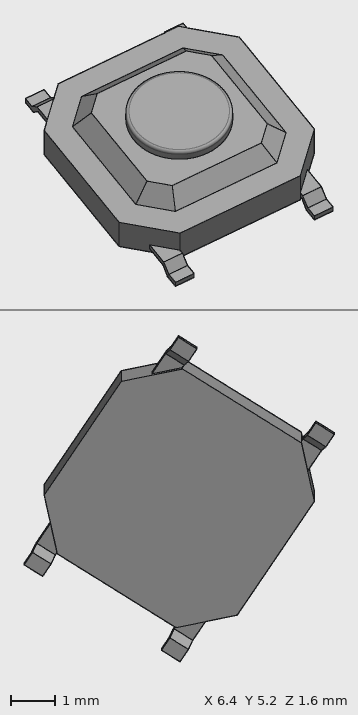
import cadquery as cq
import math

housing_side = 5.2
housing_corner = 1.0
housing_bottom = 0.1
housing_top = 0.95

cover_base_inset = 0.6
cover_top_inset = 1.0
cover_top = 1.35

button_diameter = 2.42
button_top = 1.6
button_edge_radius = 0.075

lead_span = 6.4
lead_thickness = 0.14
lead_rise = 0.21
foot_length_above = 0.28
foot_length_below = 0.35
bend_run_above = 0.22
bend_run_below = 0.18
lead_embed = 0.4

half_housing = housing_side / 2
lead_inner_y = half_housing - housing_corner
lead_outer_y = half_housing - housing_corner / 2
lead_width = lead_outer_y - lead_inner_y
lead_tip_x = lead_span / 2
lead_root_x = lead_inner_y - lead_embed


def cut_corner_square(side, corner):
    """Corner points of a centred square with its four corners cut at 45 degrees."""
    far = side / 2
    near = far - corner
    return [
        (far, -near), (far, near), (near, far), (-near, far),
        (-far, near), (-far, -near), (-near, -far), (near, -far),
    ]


def inset_housing_outline(inset):
    """Housing outline with all eight sides moved inward by the same distance."""
    corner = housing_corner - (2 - math.sqrt(2)) * inset
    return cut_corner_square(housing_side - 2 * inset, corner)


def make_housing():
    outline = cut_corner_square(housing_side, housing_corner)
    height = housing_top - housing_bottom
    return cq.Workplane("XY", origin=(0, 0, housing_bottom)).polyline(outline).close().extrude(height)


def make_cover():
    base = inset_housing_outline(cover_base_inset)
    top = inset_housing_outline(cover_top_inset)
    return (
        cq.Workplane("XY", origin=(0, 0, housing_top))
        .polyline(base).close()
        .workplane(offset=cover_top - housing_top)
        .polyline(top).close()
        .loft(ruled=True)
    )


def make_button():
    return (
        cq.Workplane("XY", origin=(0, 0, cover_top))
        .circle(button_diameter / 2)
        .extrude(button_top - cover_top)
        .faces(">Z").edges().fillet(button_edge_radius)
    )


def make_lead():
    """Lead at the +X, +Y corner, from its foot on the mounting plane to its root in the housing."""
    knee_above = lead_tip_x - foot_length_above
    knee_below = lead_tip_x - foot_length_below
    profile = [
        (lead_tip_x, 0),
        (lead_tip_x, lead_thickness),
        (knee_above, lead_thickness),
        (knee_above - bend_run_above, lead_rise + lead_thickness),
        (lead_root_x, lead_rise + lead_thickness),
        (lead_root_x, lead_rise),
        (knee_below - bend_run_below, lead_rise),
        (knee_below, 0),
    ]
    return (
        cq.Workplane("XZ", origin=(0, lead_outer_y, 0))
        .polyline(profile).close()
        .extrude(lead_width)
    )


result = make_housing().union(make_cover()).union(make_button())

lead = make_lead()
lead_pair = lead.union(lead.mirror("YZ"))
for leads in (lead_pair, lead_pair.mirror("XZ")):
    result = result.union(leads)